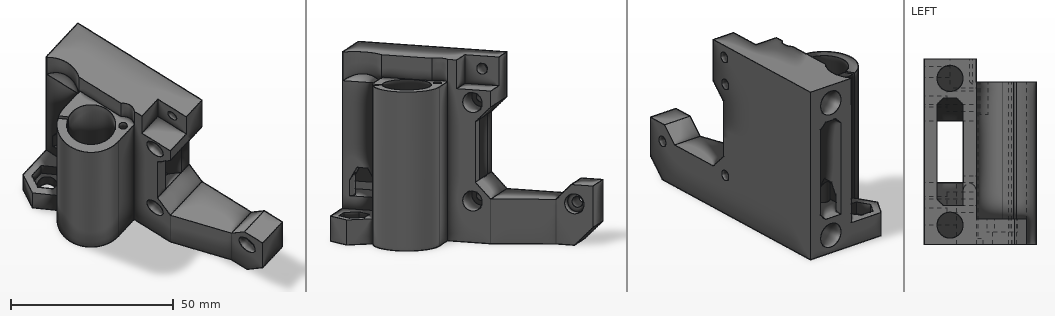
import cadquery as cq
import math


total_width = 79.0
total_height = 57.0
body_depth = 16.0
body_width = 47.95
bay_chamfer = 5.0
bay_left = body_width - bay_chamfer
bay_top = 38.0
bay_bottom = 19.0
arm_height = bay_bottom - bay_chamfer
arm_taper_end = 67.0
arm_thickness = 10.0
tip_chamfer = 6.0

motor_pitch = 31.0
motor_x = 42.0
motor_z = 13.0
screw_diameter = 3.4
screw_head_diameter = 6.25
screw_head_floor = 7.0

notch_left = 37.0
notch_floor = 48.0
notch_web = 8.0
notch_hole_x = 42.5
notch_hole_z = 53.0

rod_diameter = 8.0
rod_y = -8.0
rod_heights = (6.0, 51.0)
rod_depth = 31.6
slot_width = 8.0
slot_bottom = 12.0
slot_top = 45.0
slot_corner = 2.0

foot_height = 7.9
foot_apothem = 6.5
screw_axis_x = foot_apothem
axis_y = -24.0
nut_flats = 8.2
nut_depth = 4.0
lead_screw_diameter = 6.0
coupler_radius = 10.1

clamp_height = 50.0
clamp_radius = 10.5
clamp_x = 2 * foot_apothem + clamp_radius
bearing_radius = 7.5
stop_height = 2.0
stop_y = -18.2
gap_width = 0.95
pin_x = 31.5
pin_y = -18.4
pin_diameter = 2.5
pin_depth = 10.0
pin_boss_radius = 3.5

window_half_width = nut_flats / 2
window_shoulder = 17.0
window_top = 21.1
window_top_half_width = 1.7
lip_bulge = 1.1

hexagon_tilt = 30.0
hexagon_cosine = math.cos(math.radians(hexagon_tilt))
hexagon_slope = math.tan(math.radians(hexagon_tilt))
hexagon_corner = foot_apothem / hexagon_cosine
foot_point_y = axis_y - hexagon_corner
gap_edge_y = foot_point_y + (clamp_x - screw_axis_x) * hexagon_slope

slot_front = rod_y - slot_width / 2
slot_back = rod_y + slot_width / 2


def upright_cylinder(x, y, radius, bottom, top):
    return cq.Workplane("XY", origin=(x, y, bottom)).circle(radius).extrude(top - bottom)


def cross_cylinder(x, z, diameter, front, back):
    """Cylinder along Y between the planes y = front and y = back."""
    return cq.Workplane("XZ", origin=(x, back, z)).circle(diameter / 2).extrude(back - front)


def block(x0, x1, y0, y1, z0, z1):
    return cq.Workplane("XY").box(x1 - x0, y1 - y0, z1 - z0, centered=False).translate((x0, y0, z0))


def make_body():
    """Front outline with the motor bay, limited by the plan with the tapering arm."""
    front_outline = (
        cq.Workplane("XZ")
        .polyline([
            (0, 0),
            (total_width - tip_chamfer, 0),
            (total_width, tip_chamfer),
            (total_width, bay_bottom),
            (arm_taper_end + bay_chamfer, bay_bottom),
            (arm_taper_end, arm_height),
            (body_width, arm_height),
            (bay_left, bay_bottom),
            (bay_left, bay_top),
            (body_width, bay_top + bay_chamfer),
            (body_width, total_height),
            (0, total_height),
        ])
        .close()
        .extrude(body_depth)
    )
    plan = (
        cq.Workplane("XY")
        .polyline([
            (0, 0),
            (total_width, 0),
            (total_width, -arm_thickness),
            (arm_taper_end, -arm_thickness),
            (body_width, -body_depth),
            (0, -body_depth),
        ])
        .close()
        .extrude(total_height)
    )
    return front_outline.intersect(plan)


def make_coupler_groove():
    """Round groove in the front face, its floor rising at 45 degrees toward the back."""
    groove = upright_cylinder(screw_axis_x, axis_y, coupler_radius, 0, total_height)
    rise = total_height - notch_floor
    above_floor = (
        cq.Workplane("YZ")
        .polyline([
            (-body_depth, notch_floor),
            (-body_depth + rise, total_height),
            (-body_depth, total_height),
        ])
        .close()
        .extrude(total_width)
    )
    return groove.intersect(above_floor)


def make_foot():
    """Hexagonal foot whose right front edge runs on to the bearing bore."""
    return (
        cq.Workplane("XY")
        .polyline([
            (0, -body_depth),
            (0, axis_y - hexagon_corner / 2),
            (screw_axis_x, foot_point_y),
            (clamp_x, gap_edge_y),
            (clamp_x, -body_depth),
        ])
        .close()
        .extrude(foot_height)
    )


def make_clamp():
    barrel = upright_cylinder(clamp_x, axis_y, clamp_radius, 0, clamp_height)
    neck = block(clamp_x - clamp_radius, clamp_x + clamp_radius, axis_y, -body_depth, 0, clamp_height)
    return barrel.union(neck)


def make_bearing_bore():
    """Bore with a ledge at its foot, plus the narrow gap that lets the clamp spring."""
    bore = upright_cylinder(clamp_x, axis_y, bearing_radius, 0, clamp_height)
    ledge = block(
        clamp_x - bearing_radius, clamp_x + bearing_radius, stop_y, axis_y + bearing_radius, 0, stop_height
    )
    gap_length = clamp_radius + bearing_radius
    gap = (
        block(-gap_length, 0, -gap_width, 0, 0, clamp_height)
        .rotate((0, 0, 0), (0, 0, 1), hexagon_tilt)
        .translate((clamp_x, gap_edge_y, 0))
    )
    return bore.cut(ledge).union(gap)


def make_nut_trap():
    nut_corners = nut_flats / hexagon_cosine
    nut = (
        cq.Workplane("XY")
        .polygon(6, nut_corners)
        .extrude(nut_depth)
        .rotate((0, 0, 0), (0, 0, 1), hexagon_tilt)
        .translate((screw_axis_x, axis_y, foot_height - nut_depth))
    )
    return nut.union(upright_cylinder(screw_axis_x, axis_y, lead_screw_diameter / 2, 0, foot_height))


def make_belt_slot():
    """Slot along X, narrowing at 45 degrees to the straight wall of the motor bay."""
    section = (
        cq.Workplane("YZ")
        .polyline([
            (slot_front, slot_bottom),
            (slot_back - slot_corner, slot_bottom),
            (slot_back, slot_bottom + slot_corner),
            (slot_back, slot_top - slot_corner),
            (slot_back - slot_corner, slot_top),
            (slot_front + slot_corner, slot_top),
            (slot_front, slot_top - slot_corner),
        ])
        .close()
        .extrude(bay_left)
    )
    side_outline = (
        cq.Workplane("XZ")
        .polyline([
            (0, slot_bottom),
            (bay_left - (bay_bottom - slot_bottom), slot_bottom),
            (bay_left, bay_bottom),
            (bay_left, bay_top),
            (bay_left - (slot_top - bay_top), slot_top),
            (0, slot_top),
        ])
        .close()
        .extrude(body_depth)
    )
    return section.intersect(side_outline)


def make_window():
    """House-shaped window in the slot's front wall, its sides rounded into convex lips."""
    opening = (
        cq.Workplane("XZ", origin=(screw_axis_x, slot_front, 0))
        .polyline([
            (-window_half_width, slot_bottom),
            (window_half_width, slot_bottom),
            (window_half_width, window_shoulder),
            (window_top_half_width, window_top),
            (-window_top_half_width, window_top),
            (-window_half_width, window_shoulder),
        ])
        .close()
        .extrude(slot_front + body_depth)
    )
    wall_middle = (slot_front - body_depth) / 2
    half_wall = (slot_front + body_depth) / 2
    lip_radius = (half_wall ** 2 + lip_bulge ** 2) / (2 * lip_bulge)
    for side in (-1, 1):
        lip_x = screw_axis_x + side * (window_half_width - lip_bulge + lip_radius)
        opening = opening.cut(upright_cylinder(lip_x, wall_middle, lip_radius, 0, total_height))
    return opening


result = make_body().cut(make_coupler_groove()).union(make_foot()).union(make_clamp())
result = result.cut(make_bearing_bore()).cut(make_nut_trap())
result = result.cut(make_belt_slot()).cut(make_window())

for rod_z in rod_heights:
    socket = cq.Workplane("YZ", origin=(0, rod_y, rod_z)).circle(rod_diameter / 2).extrude(rod_depth)
    result = result.cut(socket)

motor_screws = [
    (motor_x, motor_z, body_depth),
    (motor_x, motor_z + motor_pitch, body_depth),
    (motor_x + motor_pitch, motor_z, arm_thickness),
]
for x, z, thickness in motor_screws:
    result = result.cut(cross_cylinder(x, z, screw_diameter, -thickness, 0))
    result = result.cut(cross_cylinder(x, z, screw_head_diameter, -thickness, -screw_head_floor))

result = result.cut(block(notch_left, body_width, -body_depth, -notch_web, notch_floor, total_height))
result = result.cut(cross_cylinder(notch_hole_x, notch_hole_z, screw_diameter, -notch_web, 0))

result = result.cut(upright_cylinder(pin_x, pin_y, pin_boss_radius, clamp_height, total_height))
result = result.cut(upright_cylinder(pin_x, pin_y, pin_diameter / 2, clamp_height - pin_depth, clamp_height))